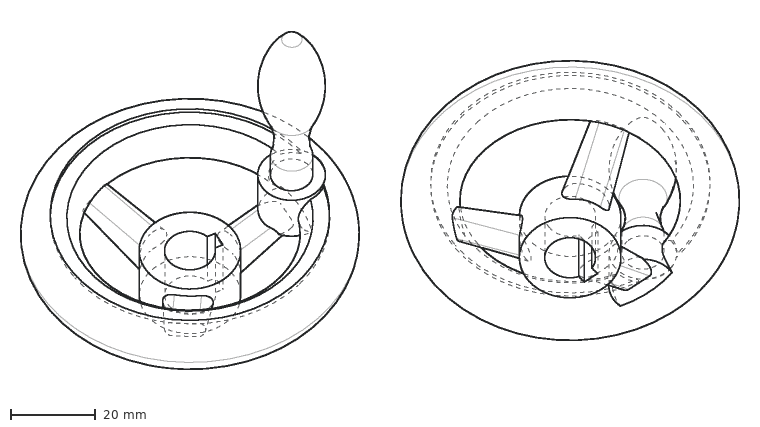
import cadquery as cq
import math

outer_radius = 40.0
rim_height = 14.0
rim_section_radius = rim_height / 2
rim_center_radius = outer_radius - rim_section_radius
rim_center_z = 22.0
recess_depth = 1.2
recess_floor_z = rim_center_z + rim_section_radius - recess_depth

hub_radius = 12.0
hub_height = 16.0
bore_radius = 6.0
keyway_width = 4.0
keyway_reach = 7.8

spoke_count = 3
spoke_flat_width = 6.4
spoke_inner_radius = 8.0
spoke_inner_z = 8.3
spoke_inner_thickness = 5.9
spoke_outer_thickness = 2.4

handle_offset = 27.0
boss_radius = 8.0
boss_bottom_z = 16.0
boss_top_z = rim_center_z + rim_section_radius
shank_diameter = 10.0
shank_radius = shank_diameter / 2
shank_top_z = 36.2
neck_radius = 4.1
neck_z = 42.2
grip_start_radius = 5.7
grip_start_z = 49.8
grip_radius = 8.0
grip_widest_z = 60.8
tip_radius = 2.4
tip_start_z = 77.9
handle_top_z = 79.0


def make_rim():
    ring = cq.Workplane("XY").add(
        cq.Solid.makeTorus(rim_center_radius, rim_section_radius, cq.Vector(0, 0, rim_center_z))
    )
    recess = (
        cq.Workplane("XY")
        .workplane(offset=recess_floor_z)
        .circle(rim_center_radius)
        .extrude(rim_section_radius)
    )
    return ring.cut(recess)


def make_spoke():
    """Tapered spoke along +Y, with full-round sides."""
    run = rim_center_radius - spoke_inner_radius
    rise = rim_center_z - spoke_inner_z
    section_plane = cq.Plane(
        origin=(0, spoke_inner_radius, spoke_inner_z),
        xDir=(1, 0, 0),
        normal=(0, run, rise),
    )
    return (
        cq.Workplane(section_plane)
        .slot2D(spoke_flat_width + spoke_inner_thickness, spoke_inner_thickness)
        .workplane(offset=math.hypot(run, rise))
        .slot2D(spoke_flat_width + spoke_outer_thickness, spoke_outer_thickness)
        .loft(ruled=True)
    )


def make_boss():
    return (
        cq.Workplane("XY")
        .workplane(offset=boss_bottom_z)
        .center(0, handle_offset)
        .circle(boss_radius)
        .extrude(boss_top_z - boss_bottom_z)
    )


def make_handle():
    """Turned handle: straight shank, waisted neck, bulging grip and domed tip."""
    tip_height = handle_top_z - tip_start_z
    dome_radius = (tip_radius**2 + tip_height**2) / (2 * tip_height)
    dome_mid_angle = math.asin(tip_radius / dome_radius) / 2
    dome_mid = (
        dome_radius * math.sin(dome_mid_angle),
        handle_top_z - dome_radius * (1 - math.cos(dome_mid_angle)),
    )
    profile = (
        cq.Workplane("XZ")
        .moveTo(0, boss_top_z)
        .lineTo(shank_radius, boss_top_z)
        .lineTo(shank_radius, shank_top_z)
        .threePointArc((neck_radius, neck_z), (grip_start_radius, grip_start_z))
        .threePointArc((grip_radius, grip_widest_z), (tip_radius, tip_start_z))
        .threePointArc(dome_mid, (0, handle_top_z))
        .close()
    )
    return profile.revolve(360, (0, 0, 0), (0, 1, 0)).translate((0, handle_offset, 0))


def make_bore():
    bore = cq.Workplane("XY").circle(bore_radius).extrude(hub_height)
    keyway = cq.Workplane("XY").box(keyway_width, keyway_reach, hub_height, (True, False, False))
    return bore.union(keyway)


wheel = make_rim().union(cq.Workplane("XY").circle(hub_radius).extrude(hub_height))
for index in range(spoke_count):
    spoke_angle = index * 360 / spoke_count
    wheel = wheel.union(make_spoke().rotate((0, 0, 0), (0, 0, 1), spoke_angle))

result = wheel.union(make_boss()).union(make_handle()).cut(make_bore())